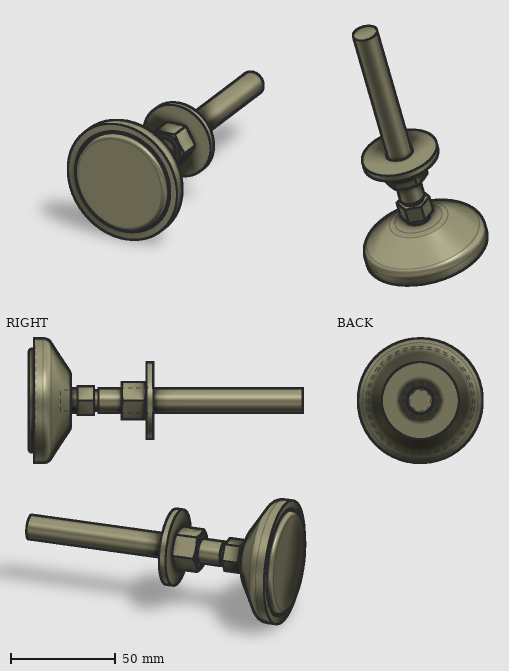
import cadquery as cq
import math

TOTAL_LENGTH = 131.5

FOOT_DIAMETER = 60.0
PAD_DIAMETER = 50.0
PAD_HEIGHT = 2.5
PAD_EDGE_RADIUS = 2.0
GROOVE_DIAMETER = 52.0
GROOVE_DEPTH = 0.5
RIM_TOP = 6.8
RIM_RADIUS = 4.7
CONE_TOP = 20.4
CONE_TOP_DIAMETER = 26.3
CONE_TOP_RADIUS = 5.0

SPINDLE_DIAMETER = 12.0
NECK_DIAMETER = 10.0
SOCKET_DEPTH = 5.0
COLLAR_RADIUS = 0.8
SPINDLE_HEX_START = 23.4
SPINDLE_HEX_HEIGHT = 8.0
SPINDLE_HEX_FLATS = 14.0
NECK_LENGTH = 2.0

NUT_START = 44.5
NUT_HEIGHT = 12.0
NUT_FLATS = 18.0
NUT_FACE_DIAMETER = 17.0
NUT_CHAMFER_ANGLE = 20.0
WASHER_DIAMETER = 37.0
WASHER_BORE = 13.0
WASHER_THICKNESS = 3.4


def rod(diameter, start, height):
    """Cylinder along +Y, beginning at y = start."""
    plane = cq.Plane((0, start, 0), (1, 0, 0), (0, 1, 0))
    return cq.Workplane(plane).circle(diameter / 2).extrude(height)


def hexagon(flats, start, height):
    """Hexagonal prism along +Y with two corners on the X direction."""
    plane = cq.Plane((0, start, 0), (1, 0, 0), (0, 1, 0))
    corner_diameter = flats / math.cos(math.pi / 6)
    return cq.Workplane(plane).polygon(6, corner_diameter).extrude(height)


def turned(profile):
    """Revolve a closed (radius, y) profile about the Y axis."""
    return profile.close().revolve(360, (0, 0, 0), (0, 1, 0))


def make_foot():
    rim = FOOT_DIAMETER / 2
    top = CONE_TOP_DIAMETER / 2
    centre = rim - RIM_RADIUS
    rise = CONE_TOP - RIM_TOP
    distance = math.hypot(top - centre, rise)
    normal = math.atan2(rise, top - centre) - math.acos(RIM_RADIUS / distance)

    def on_rim_arc(angle):
        return (centre + RIM_RADIUS * math.cos(angle), RIM_TOP + RIM_RADIUS * math.sin(angle))

    body = turned(
        cq.Workplane("XY")
        .moveTo(0, PAD_HEIGHT)
        .lineTo(rim, PAD_HEIGHT)
        .lineTo(rim, RIM_TOP)
        .threePointArc(on_rim_arc(normal / 2), on_rim_arc(normal))
        .lineTo(top, CONE_TOP)
        .lineTo(0, CONE_TOP)
    )
    body = body.faces(">Y").edges().fillet(CONE_TOP_RADIUS)
    groove = rod(GROOVE_DIAMETER, PAD_HEIGHT, GROOVE_DEPTH)
    pad = rod(PAD_DIAMETER, 0, PAD_HEIGHT + GROOVE_DEPTH).faces("<Y").edges().fillet(PAD_EDGE_RADIUS)
    socket = rod(NECK_DIAMETER, CONE_TOP - SOCKET_DEPTH, SOCKET_DEPTH)
    return body.cut(groove).union(pad).cut(socket)


def make_spindle():
    hex_end = SPINDLE_HEX_START + SPINDLE_HEX_HEIGHT
    shank_start = hex_end + NECK_LENGTH
    socket_end = rod(NECK_DIAMETER, CONE_TOP - SOCKET_DEPTH, SOCKET_DEPTH)
    collar = rod(SPINDLE_DIAMETER, CONE_TOP, SPINDLE_HEX_START - CONE_TOP)
    collar = collar.faces("<Y").edges().fillet(COLLAR_RADIUS)
    drive_hex = hexagon(SPINDLE_HEX_FLATS, SPINDLE_HEX_START, SPINDLE_HEX_HEIGHT)
    neck = rod(NECK_DIAMETER, hex_end, NECK_LENGTH)
    shank = rod(SPINDLE_DIAMETER, shank_start, TOTAL_LENGTH - shank_start)
    return socket_end.union(collar).union(drive_hex).union(neck).union(shank)


def make_nut():
    nut_end = NUT_START + NUT_HEIGHT
    face = NUT_FACE_DIAMETER / 2
    corner = NUT_FLATS / 2 / math.cos(math.pi / 6)
    chamfer_height = (corner - face) * math.tan(math.radians(NUT_CHAMFER_ANGLE))
    blank = turned(
        cq.Workplane("XY")
        .moveTo(0, NUT_START)
        .lineTo(face, NUT_START)
        .lineTo(corner, NUT_START + chamfer_height)
        .lineTo(corner, nut_end - chamfer_height)
        .lineTo(face, nut_end)
        .lineTo(0, nut_end)
    )
    bore = rod(SPINDLE_DIAMETER, NUT_START, NUT_HEIGHT)
    return hexagon(NUT_FLATS, NUT_START, NUT_HEIGHT).intersect(blank).cut(bore)


def make_washer():
    start = NUT_START + NUT_HEIGHT
    bore = rod(WASHER_BORE, start, WASHER_THICKNESS)
    return rod(WASHER_DIAMETER, start, WASHER_THICKNESS).cut(bore)


foot = make_foot()
spindle = make_spindle()
nut = make_nut()
washer = make_washer()

result = cq.Compound.makeCompound([foot.val(), spindle.val(), nut.val(), washer.val()])